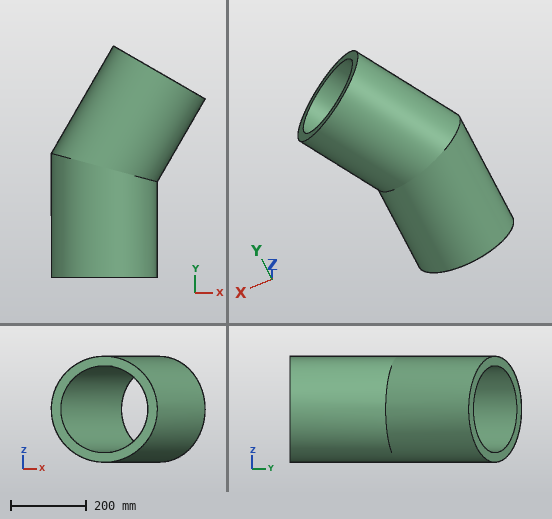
import cadquery as cq
import math

overall_length = 611.0
outer_diameter = 280.0
inner_diameter = 229.0
bend_angle = 30.0

bend = math.radians(bend_angle)
outer_radius = outer_diameter / 2

leg_length = (overall_length - outer_radius * math.sin(bend)) / (1 + math.cos(bend))

mitre_point = (0, leg_length, 0)
mitre_normal = (math.sin(bend / 2), math.cos(bend / 2), 0)
mitre_plane = cq.Plane(origin=mitre_point, normal=mitre_normal)


def straight_leg():
    """Tube along +Y from the origin, trimmed at the mitre plane."""
    stock_length = leg_length + outer_diameter
    tube = (
        cq.Workplane("XZ")
        .circle(outer_diameter / 2)
        .circle(inner_diameter / 2)
        .extrude(-stock_length)
    )
    trim_size = 2 * stock_length
    beyond_mitre = cq.Workplane(mitre_plane).rect(trim_size, trim_size).extrude(trim_size)
    return tube.cut(beyond_mitre)


first_leg = straight_leg()
second_leg = first_leg.mirror(cq.Vector(*mitre_normal), mitre_point)
result = first_leg.union(second_leg)